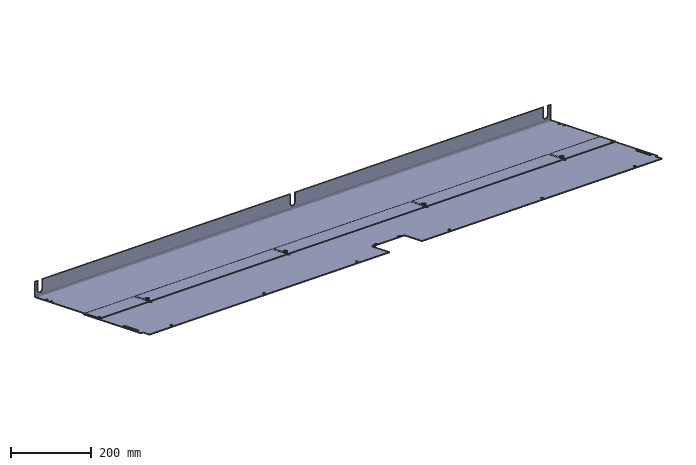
import cadquery as cq


length = 1827.0
total_width = 393.0
total_height = 44.0
sheet = 2.0
stack_top = 2 * sheet
half_length = length / 2

wide_half_length = 912.0
seam_x = 227.0
inner_bend_radius = 1.3
outer_bend_radius = inner_bend_radius + sheet
flange_slot_width = 16.0
flange_slot_floor = 11.0
end_flange_slot_inset = 17.5

narrow_start_x = 172.0
corner_step_x = 371.0
corner_step_depth = 7.0
notch_x = 333.0
notch_width = 115.0

small_hole_diameter = 5.0
end_inset = 7.0
wide_end_hole_xs = (37.0, 53.0, 220.0)
end_slot_x = 329.0
end_slot_length = 51.0
end_slot_width = 5.0
notch_slot_inset = 4.0
notch_slot_width = 4.5
notch_slot_length = 13.0
notch_slot_y = 41.1
edge_hole_diameter = 6.4
edge_hole_inset = 10.0
edge_hole_count = 6
edge_hole_row_length = 1639.0
edge_hole_pitch = edge_hole_row_length / (edge_hole_count - 1)

rivet_count = 4
rivet_row_length = 1465.0
rivet_pitch = rivet_row_length / (rivet_count - 1)
rivet_x = 215.0
head_diameter = 11.1
head_height = 4.0
shank_diameter = 6.4
recess_diameter = 5.0
recess_depth = 2.0
slide_slot_width = shank_diameter


def row_positions(count, pitch):
    """Y positions of an evenly spaced row centred on the origin."""
    return [(i - (count - 1) / 2) * pitch for i in range(count)]


def box(x_start, x_end, y_centre, y_size, z_start, z_end):
    """Block between two X and two Z limits, centred at y_centre."""
    return (
        cq.Workplane("XY", origin=(0, y_centre, z_start))
        .moveTo(x_start, -y_size / 2)
        .lineTo(x_end, -y_size / 2)
        .lineTo(x_end, y_size / 2)
        .lineTo(x_start, y_size / 2)
        .close()
        .extrude(z_end - z_start)
    )


rivet_ys = row_positions(rivet_count, rivet_pitch)


def make_wide_panel():
    panel = (
        cq.Workplane("XZ", origin=(0, wide_half_length, 0))
        .moveTo(seam_x, sheet)
        .lineTo(outer_bend_radius, sheet)
        .radiusArc((0, sheet + outer_bend_radius), outer_bend_radius)
        .lineTo(0, total_height)
        .lineTo(sheet, total_height)
        .lineTo(sheet, sheet + outer_bend_radius)
        .radiusArc((outer_bend_radius, stack_top), -inner_bend_radius)
        .lineTo(seam_x, stack_top)
        .close()
        .extrude(2 * wide_half_length)
    )

    slot_radius = flange_slot_width / 2
    round_centre_z = flange_slot_floor + slot_radius
    end_slot_y = wide_half_length - end_flange_slot_inset
    for y in (-end_slot_y, 0, end_slot_y):
        panel = panel.cut(box(0, sheet, y, flange_slot_width, round_centre_z, total_height))
        panel = panel.cut(
            cq.Workplane("YZ", origin=(0, y, round_centre_z)).circle(slot_radius).extrude(sheet)
        )

    end_y = half_length - end_inset
    end_holes = [(x, y) for x in wide_end_hole_xs for y in (-end_y, end_y)]
    rivet_holes = [(rivet_x, y) for y in rivet_ys]
    for points, diameter in ((end_holes, small_hole_diameter), (rivet_holes, shank_diameter)):
        panel = panel.cut(
            cq.Workplane("XY", origin=(0, 0, sheet)).pushPoints(points).circle(diameter / 2).extrude(sheet)
        )
    return panel


def make_narrow_panel():
    panel = box(narrow_start_x, total_width, 0, length, 0, sheet)

    for side in (-1, 1):
        step_y = side * (half_length - corner_step_depth / 2)
        panel = panel.cut(box(corner_step_x, total_width, step_y, corner_step_depth, 0, sheet))

    panel = panel.cut(box(notch_x, total_width, 0, notch_width, 0, sheet))

    for y in rivet_ys:
        panel = panel.cut(box(narrow_start_x, seam_x, y, slide_slot_width, 0, sheet))
    round_ends = [(seam_x, y) for y in rivet_ys]
    panel = panel.cut(
        cq.Workplane("XY").pushPoints(round_ends).circle(slide_slot_width / 2).extrude(sheet)
    )

    edge_holes = [
        (total_width - edge_hole_inset, y) for y in row_positions(edge_hole_count, edge_hole_pitch)
    ]
    panel = panel.cut(
        cq.Workplane("XY").pushPoints(edge_holes).circle(edge_hole_diameter / 2).extrude(sheet)
    )

    end_y = half_length - end_inset
    end_slots = [(end_slot_x, -end_y), (end_slot_x, end_y)]
    panel = panel.cut(
        cq.Workplane("XY").pushPoints(end_slots).slot2D(end_slot_length, end_slot_width).extrude(sheet)
    )
    notch_slot_x = notch_x - notch_slot_inset
    notch_slots = [(notch_slot_x, -notch_slot_y), (notch_slot_x, notch_slot_y)]
    return panel.cut(
        cq.Workplane("XY")
        .pushPoints(notch_slots)
        .slot2D(notch_slot_length, notch_slot_width, 90)
        .extrude(sheet)
    )


def make_rivet(y):
    shank = cq.Workplane("XY", origin=(rivet_x, y, 0)).circle(shank_diameter / 2).extrude(stack_top)
    head = cq.Workplane("XY", origin=(rivet_x, y, stack_top)).circle(head_diameter / 2).extrude(head_height)
    recess = (
        cq.Workplane("XY", origin=(rivet_x, y, stack_top + head_height - recess_depth))
        .circle(recess_diameter / 2)
        .extrude(recess_depth)
    )
    return shank.union(head).cut(recess)


wide_panel = make_wide_panel()
narrow_panel = make_narrow_panel()
rivets = [make_rivet(y) for y in rivet_ys]

result = cq.Compound.makeCompound(
    [wide_panel.val(), narrow_panel.val(), *[rivet.val() for rivet in rivets]]
)